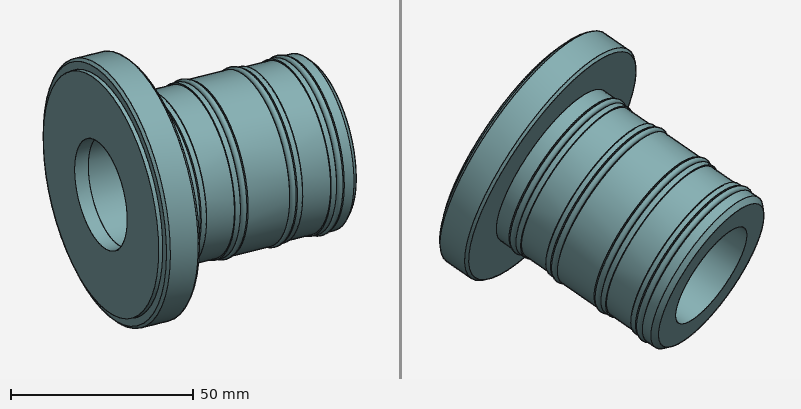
import cadquery as cq


bore_radius = 31.75 / 2

plate_radius = 69.85 / 2
plate_thickness = 4.2
plate_protrusion = 1.19
recess_clearance = 0.13

flange_radius = 76.2 / 2
recess_radius = plate_radius + recess_clearance
flange_front = plate_protrusion
flange_back = 11.35
flange_chamfer = 0.8

sleeve_radius = 25.0
sleeve_end = 66.67
end_chamfer = 1.5

ring_section_radius = 1.78 / 2
ring_outer_radius = 25.5
ring_center_radius = ring_outer_radius - ring_section_radius
groove_width = 2.4
groove_floor_radius = ring_center_radius - ring_section_radius
ring_group_middle = 38.99
inner_ring_spacing = 15.16
outer_ring_spacing = 14.43
ring_positions = [
    ring_group_middle - inner_ring_spacing / 2 - outer_ring_spacing,
    ring_group_middle - inner_ring_spacing / 2,
    ring_group_middle + inner_ring_spacing / 2,
    ring_group_middle + inner_ring_spacing / 2 + outer_ring_spacing,
]

relief_width = 8.75
relief_depth = 0.4
relief_positions = [
    (ring_positions[0] + ring_positions[1]) / 2,
    (ring_positions[2] + ring_positions[3]) / 2,
]


def cylinder(radius, y_start, y_end):
    """Solid cylinder on the Y axis between two Y positions."""
    return cq.Workplane("XZ", origin=(0, y_start, 0)).circle(radius).extrude(y_start - y_end)


def tube(outer_radius, inner_radius, y_start, y_end):
    """Hollow cylinder on the Y axis between two Y positions."""
    return cylinder(outer_radius, y_start, y_end).cut(cylinder(inner_radius, y_start, y_end))


def outer_groove(floor_radius, center_y, width):
    """Ring of material to remove from the outside of the sleeve."""
    return tube(flange_radius, floor_radius, center_y - width / 2, center_y + width / 2)


def make_housing():
    """Flanged sleeve with O-ring grooves, relief bands and a recess for the face plate."""
    profile = [
        (plate_thickness, bore_radius),
        (plate_thickness, recess_radius),
        (flange_front, recess_radius),
        (flange_front, flange_radius - flange_chamfer),
        (flange_front + flange_chamfer, flange_radius),
        (flange_back - flange_chamfer, flange_radius),
        (flange_back, flange_radius - flange_chamfer),
        (flange_back, sleeve_radius),
        (sleeve_end - end_chamfer, sleeve_radius),
        (sleeve_end, sleeve_radius - end_chamfer),
        (sleeve_end, bore_radius),
    ]
    body = cq.Workplane("YZ").polyline(profile).close().revolve(360, (0, 0, 0), (1, 0, 0))
    for center_y in ring_positions:
        body = body.cut(outer_groove(groove_floor_radius, center_y, groove_width))
    for center_y in relief_positions:
        body = body.cut(outer_groove(sleeve_radius - relief_depth, center_y, relief_width))
    return body


def make_face_plate():
    """Flat annular plate seated in the flange recess, standing proud of the flange."""
    return tube(plate_radius, bore_radius, 0, plate_thickness)


def make_o_ring(center_y):
    """O-ring resting on the floor of its groove."""
    section = cq.Workplane("XY").center(ring_center_radius, center_y).circle(ring_section_radius)
    return section.revolve(360, (-ring_center_radius, 0, 0), (-ring_center_radius, 1, 0))


housing = make_housing()
face_plate = make_face_plate()
o_rings = [make_o_ring(center_y) for center_y in ring_positions]

result = cq.Compound.makeCompound(
    [housing.val(), face_plate.val(), *[ring.val() for ring in o_rings]]
)